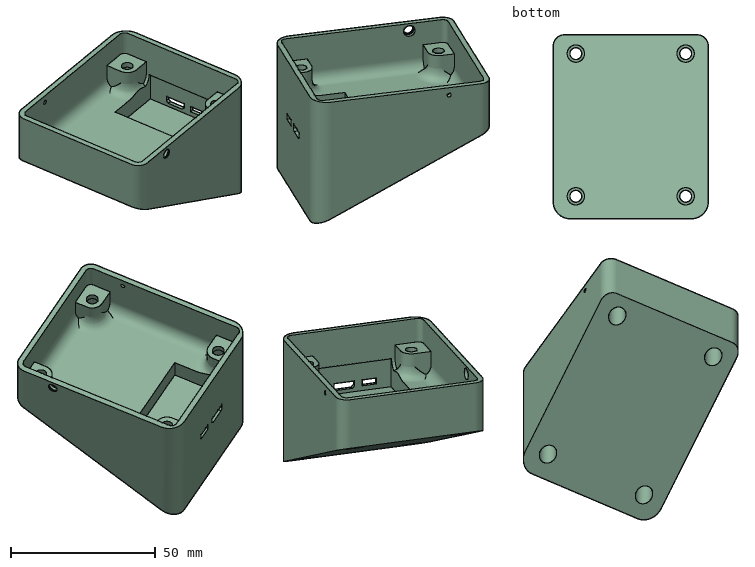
import cadquery as cq
import math

width = 53.75
depth = 63.75
height = 47.9
base_angle = 25.0
wall = 2.0
back_corner_radius = 6.0
front_corner_radius = 4.0
inner_corner_radius = 2.0

floor_z = 30.0
cove_radius = 4.0

boss_top_z = 39.1
boss_radius = 3.9
screw_x = 19.0
back_screw_y = 24.05
front_screw_y = -25.3
screw_diameter = 4.0
counterbore_diameter = 6.0
screw_seat_thickness = 2.0

recess_width = 27.7
recess_length = 20.2
recess_floor_z = 23.35
undercut_depth = 0.65
opening_top_z = 27.3
slot_x = 5.9
slot_width = 5.2
slot_height = 2.15
socket_x = -3.25
socket_width = 7.5
socket_side_height = 1.8
socket_taper = 0.8

side_hole_y = -16.5
side_hole_z = 45.0
pin_hole_diameter = 1.4
button_diameter = 3.3
button_recess_diameter = 4.0
button_recess_depth = 1.35

half_width = width / 2
half_depth = depth / 2
inner_width = width - 2 * wall
inner_depth = depth - 2 * wall
inner_back_y = half_depth - wall
inner_half_width = inner_width / 2
slope_rise = depth * math.tan(math.radians(base_angle))


def cylinder_z(x, y, diameter, bottom, top):
    return cq.Workplane("XY", origin=(x, y, bottom)).circle(diameter / 2).extrude(top - bottom)


def cylinder_x(diameter, start, end):
    plane = cq.Workplane("YZ", origin=(start, side_hole_y, side_hole_z))
    return plane.circle(diameter / 2).extrude(end - start)


def make_body():
    """Rounded block cut to a wedge by the sloping base."""
    block = cq.Workplane("XY").box(width, depth, height, centered=(True, True, False))
    block = block.edges("|Z and >Y").fillet(back_corner_radius)
    block = block.edges("|Z and <Y").fillet(front_corner_radius)
    below_base = (
        cq.Workplane("YZ", origin=(-half_width, 0, 0))
        .polyline([(half_depth, 0), (-half_depth, 0), (-half_depth, slope_rise)])
        .close()
        .extrude(width)
    )
    return block.cut(below_base)


def make_boss(side, screw_y):
    """Space taken by one boss: square toward the walls, round toward the middle."""
    end = math.copysign(1, screw_y)
    x_size = half_width - screw_x + boss_radius
    y_size = half_depth - abs(screw_y) + boss_radius
    x_center = side * (half_width - x_size / 2)
    y_center = end * (half_depth - y_size / 2)
    inner_edge = ("<X" if side > 0 else ">X") + " and " + ("<Y" if end > 0 else ">Y")
    boss = cq.Workplane("XY", origin=(x_center, y_center, floor_z))
    boss = boss.box(x_size, y_size, boss_top_z - floor_z, centered=(True, True, False))
    return boss.edges("|Z and " + inner_edge).fillet(boss_radius)


def make_flare(side, screw_y):
    """Round foot centred on a screw hole, sweeping from the boss radius out onto the floor."""
    foot_radius = boss_radius + cove_radius
    arc_offset = cove_radius * (1 - math.sqrt(0.5))
    return (
        cq.Workplane("XZ", origin=(side * screw_x, screw_y, floor_z))
        .lineTo(foot_radius, 0)
        .threePointArc((boss_radius + arc_offset, arc_offset), (boss_radius, cove_radius))
        .lineTo(0, cove_radius)
        .close()
        .revolve(360, (0, 0, 0), (0, 1, 0))
    )


def make_cavity():
    """Open cavity with a coved floor, leaving room for the bosses and their feet."""
    cavity = (
        cq.Workplane("XY", origin=(0, 0, floor_z))
        .box(inner_width, inner_depth, height - floor_z, centered=(True, True, False))
    )
    cavity = cavity.edges("|Z").fillet(inner_corner_radius)
    for side, screw_y in screw_places:
        cavity = cavity.cut(make_boss(side, screw_y))
    for side_or_end in ("<X", ">X", "<Y", ">Y"):
        cavity = cavity.faces(side_or_end).edges("<Z").fillet(cove_radius)
    for side, screw_y in screw_places:
        cavity = cavity.cut(make_flare(side, screw_y))
    return cavity


def cut_screw_holes(part):
    """Vertical screw holes, counterbored from the sloping base up into each boss."""
    seat_z = boss_top_z - screw_seat_thickness
    for side, screw_y in screw_places:
        x = side * screw_x
        part = part.cut(cylinder_z(x, screw_y, screw_diameter, 0, height))
        part = part.cut(cylinder_z(x, screw_y, counterbore_diameter, 0, seat_z))
    return part


def cut_recess(part):
    """Sink the recess into the floor, undercutting the back wall up to the top of the cove."""
    length = recess_length + undercut_depth
    recess_height = floor_z + cove_radius - recess_floor_z
    recess = cq.Workplane("XY", origin=(0, inner_back_y + undercut_depth - length / 2, recess_floor_z))
    return part.cut(recess.box(recess_width, length, recess_height, centered=(True, True, False)))


def cut_back_openings(part):
    """Rectangular slot and a socket opening whose lower corners are tapered."""
    wall_face = cq.Workplane("XZ", origin=(0, half_depth, opening_top_z))
    slot = wall_face.center(slot_x, -slot_height / 2).rect(slot_width, slot_height).extrude(wall)
    half_top = socket_width / 2
    half_bottom = half_top - socket_taper
    socket_bottom = -socket_side_height - socket_taper
    socket = (
        wall_face.center(socket_x, 0)
        .polyline([
            (-half_top, 0),
            (half_top, 0),
            (half_top, -socket_side_height),
            (half_bottom, socket_bottom),
            (-half_bottom, socket_bottom),
            (-half_top, -socket_side_height),
        ])
        .close()
        .extrude(wall)
    )
    return part.cut(slot).cut(socket)


def cut_side_holes(part):
    """Pin hole in the -X wall and a stepped button hole in the +X wall."""
    pin_hole = cylinder_x(pin_hole_diameter, -half_width, -inner_half_width)
    button_hole = cylinder_x(button_diameter, inner_half_width, half_width)
    recess_end = inner_half_width + button_recess_depth
    button_recess = cylinder_x(button_recess_diameter, inner_half_width, recess_end)
    return part.cut(pin_hole).cut(button_hole).cut(button_recess)


screw_places = [(side, y) for side in (-1, 1) for y in (back_screw_y, front_screw_y)]

result = make_body().cut(make_cavity())
result = cut_screw_holes(result)
result = cut_recess(result)
result = cut_back_openings(result)
result = cut_side_holes(result)